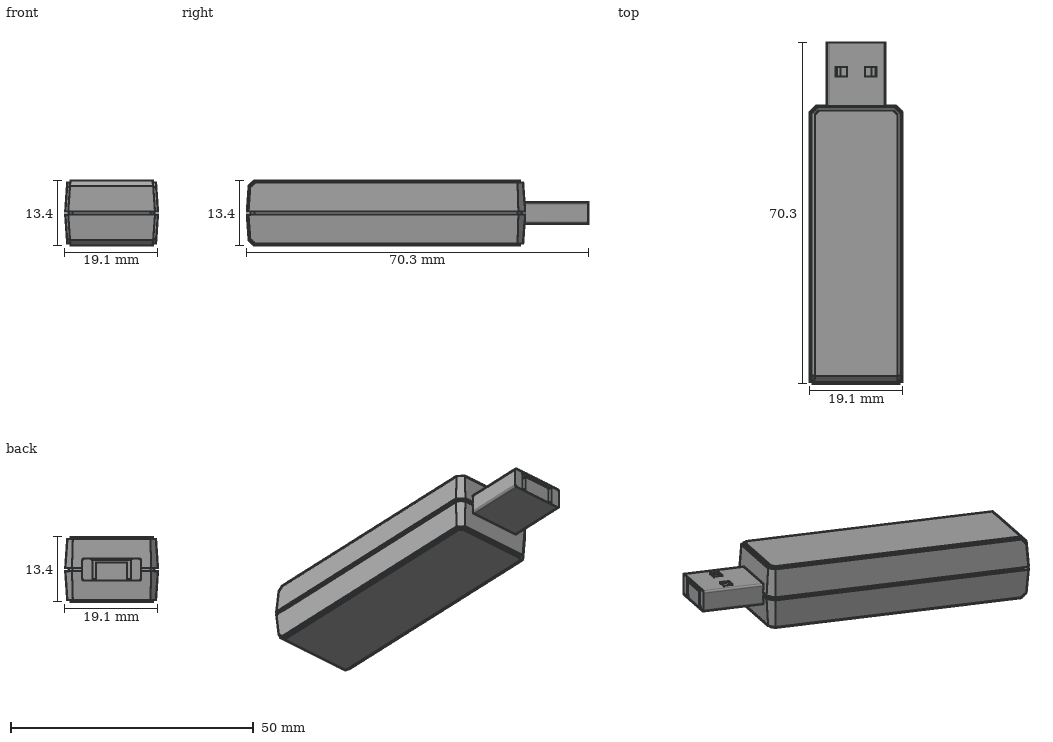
import cadquery as cq
import math

TOTAL_LENGTH = 70.3
CASE_WIDTH = 19.1
CASE_LENGTH = 57.3
CASE_HEIGHT = 13.4
SEAM_GAP = 0.6
DRAFT_ANGLE = 4.0

PANEL_RISE = 0.4
PANEL_END_STEP = 0.35
LEDGE_WIDTH = 0.6
CORNER_CUT = 1.4
PANEL_CHAMFER = 1.1
BODY_CHAMFER = 0.9

LIP_INSET = 0.7
LIP_CORNER_CUT = 0.85

PLUG_WIDTH = 12.1
PLUG_HEIGHT = 4.5
PLUG_INSERTION = 4.2
PLUG_EDGE_RADIUS = 0.4
PLUG_WALL = 0.3
CAVITY_WIDTH = 7.95
TONGUE_WIDTH = 6.3
TONGUE_CLEARANCE = 0.55
WINDOW_WIDTH = 2.4
WINDOW_LENGTH = 1.9
WINDOW_SPACING = 6.05
WINDOW_TO_TIP = 5.1

seam_z = SEAM_GAP / 2
shell_height = CASE_HEIGHT / 2 - seam_z
plug_exposed = TOTAL_LENGTH - CASE_LENGTH
plug_top = PLUG_HEIGHT / 2
cavity_height = PLUG_HEIGHT - 2 * PLUG_WALL


def drafted_block(inset, start_y, height, end_chamfer):
    """Upward block with drafted sides, two corners cut off at the plug end and a chamfered closed end."""
    half = CASE_WIDTH / 2 - inset
    end_y = CASE_LENGTH - inset
    cut = CORNER_CUT - inset * (2 - math.sqrt(2))
    block = (
        cq.Workplane("XY", origin=(0, 0, seam_z))
        .polyline([
            (-half, start_y),
            (half, start_y),
            (half, end_y - cut),
            (half - cut, end_y),
            (-half + cut, end_y),
            (-half, end_y - cut),
        ])
        .close()
        .extrude(height, taper=DRAFT_ANGLE)
    )
    return block.faces(">Z").edges("<Y").chamfer(end_chamfer)


def plug_envelope():
    """Outer shape of the plug, also used to cut its seat in the shells."""
    return (
        cq.Workplane("XZ", origin=(0, TOTAL_LENGTH, 0))
        .rect(PLUG_WIDTH, PLUG_HEIGHT)
        .extrude(plug_exposed + PLUG_INSERTION)
        .edges("|Y")
        .fillet(PLUG_EDGE_RADIUS)
    )


def half_shell():
    """One shell above the seam: a wide body with the narrower raised panel over it."""
    body = drafted_block(0, PANEL_END_STEP, shell_height - PANEL_RISE, BODY_CHAMFER)
    panel = drafted_block(LEDGE_WIDTH, 0, shell_height, PANEL_CHAMFER)
    return body.union(panel)


def seam_lip():
    """Inset block that stands on the lower shell and carries the upper one."""
    outline = (
        cq.Sketch()
        .rect(CASE_WIDTH - 2 * LIP_INSET, CASE_LENGTH - 2 * LIP_INSET)
        .vertices()
        .chamfer(LIP_CORNER_CUT)
    )
    return (
        cq.Workplane("XY", origin=(0, CASE_LENGTH / 2, -seam_z))
        .placeSketch(outline)
        .extrude(SEAM_GAP, taper=DRAFT_ANGLE)
    )


def make_upper_shell():
    return half_shell().cut(plug_envelope())


def make_lower_shell():
    return half_shell().mirror("XY").union(seam_lip()).cut(plug_envelope())


def make_plug():
    """Plug open at its tip, with a tongue inside and two windows in its top wall."""
    cavity = (
        cq.Workplane("XZ", origin=(0, TOTAL_LENGTH, 0))
        .rect(CAVITY_WIDTH, cavity_height)
        .extrude(plug_exposed)
    )
    tongue = cq.Workplane("XY", origin=(0, CASE_LENGTH, -cavity_height / 2)).box(
        TONGUE_WIDTH, plug_exposed, cavity_height - TONGUE_CLEARANCE, centered=(True, False, False)
    )
    window_y = TOTAL_LENGTH - WINDOW_TO_TIP - WINDOW_LENGTH / 2
    windows = (
        cq.Workplane("XY", origin=(0, window_y, plug_top))
        .rarray(WINDOW_SPACING, 0.7, 2, 1)
        .rect(WINDOW_WIDTH, WINDOW_LENGTH)
        .extrude(-PLUG_WALL)
    )
    return plug_envelope().cut(cavity).union(tongue).cut(windows)


upper_shell = make_upper_shell()
lower_shell = make_lower_shell()
plug = make_plug()

result = cq.Compound.makeCompound([upper_shell.val(), lower_shell.val(), plug.val()])